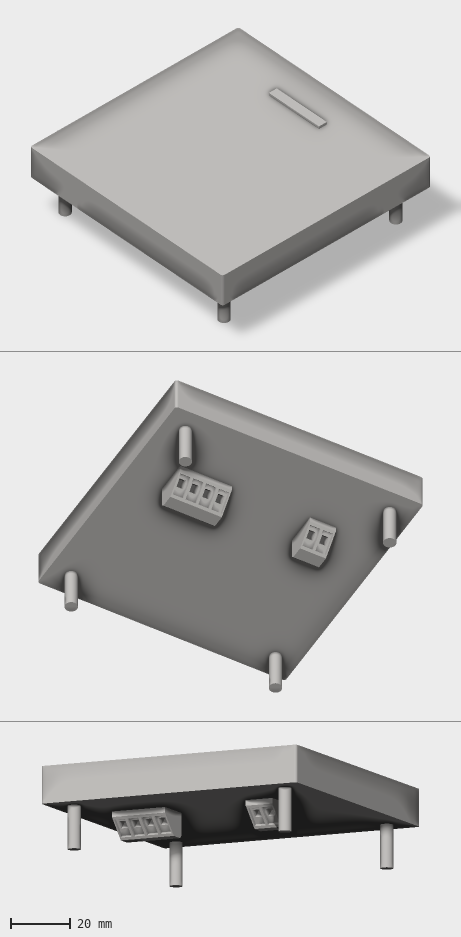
import cadquery as cq

housing_side = 96.0
housing_height = 13.0
corner_radius = 1.0

pin_diameter = 4.5
pin_length = 15.0
pin_spacing = 79.2

label_length = 25.0
label_width = 3.6
label_height = 1.1
label_center = (-1.2, 32.2)

inlay_depth = 1.9
indicator_diameter = 3.0
indicator_centers = [
    (-24.3, 18.6),
    (-16.3, 18.6),
    (15.7, 18.6),
    (23.7, 18.6),
    (-27.4, 3.6),
    (27.4, 3.6),
    (-10.3, -2.3),
    (-10.3, -7.3),
]
button_side = 15.0
button_gap = 3.0
button_count = 4
button_row_y = -30.9
split_button = 1

terminal_pitch = 5.0
terminal_front_y = -24.1
terminal_depth = 12.7
terminal_height = 8.8
terminal_front_height = 1.9
terminal_back_chamfer = 1.0
terminal_blocks = [(-32.9, 4), (17.4, 2)]

recess_width = 4.0
recess_length = 7.5
recess_depth = 1.2
entry_width = 2.5
entry_length = 3.0
entry_depth = 3.5
entry_offset = 0.7


def make_housing():
    plate = cq.Workplane("XY").box(
        housing_side, housing_side, housing_height, centered=(True, True, False)
    )
    return plate.edges("|Z").fillet(corner_radius)


def make_pins():
    return (
        cq.Workplane("XY")
        .rect(pin_spacing, pin_spacing, forConstruction=True)
        .vertices()
        .circle(pin_diameter / 2)
        .extrude(-pin_length)
    )


def make_label():
    return (
        cq.Workplane("XY", origin=(*label_center, housing_height))
        .rect(label_length, label_width)
        .extrude(label_height)
    )


def make_terminal_block(left_x, terminal_count):
    slope_rise = terminal_height - terminal_front_height
    back_y = terminal_front_y + terminal_depth
    slope_end_y = terminal_front_y + slope_rise
    block = (
        cq.Workplane("YZ", origin=(left_x, 0, 0))
        .moveTo(terminal_front_y, 0)
        .lineTo(terminal_front_y, -terminal_front_height)
        .lineTo(slope_end_y, -terminal_height)
        .lineTo(back_y - terminal_back_chamfer, -terminal_height)
        .lineTo(back_y, -terminal_height + terminal_back_chamfer)
        .lineTo(back_y, 0)
        .close()
        .extrude(terminal_count * terminal_pitch)
    )

    slope_middle_y = terminal_front_y + slope_rise / 2
    slope_middle_z = -terminal_front_height - slope_rise / 2
    for index in range(terminal_count):
        terminal_x = left_x + (index + 0.5) * terminal_pitch
        slope = cq.Plane(
            origin=(terminal_x, slope_middle_y, slope_middle_z),
            xDir=(1, 0, 0),
            normal=(0, -1, -1),
        )
        recess = cq.Workplane(slope).rect(recess_width, recess_length).extrude(-recess_depth)
        entry = (
            cq.Workplane(slope)
            .center(0, entry_offset)
            .rect(entry_width, entry_length)
            .extrude(-recess_depth - entry_depth)
        )
        block = block.cut(recess).cut(entry)
    return block


def make_indicators():
    return (
        cq.Workplane("XY", origin=(0, 0, housing_height))
        .pushPoints(indicator_centers)
        .circle(indicator_diameter / 2)
        .extrude(-inlay_depth)
        .solids()
        .vals()
    )


def make_buttons():
    half = button_side / 2
    corners = [(-half, -half), (half, -half), (half, half), (-half, half)]
    buttons = []
    for index in range(button_count):
        center_x = (index - (button_count - 1) / 2) * (button_side + button_gap)
        outlines = [corners]
        if index == split_button:
            outlines = [corners[:3], [corners[2], corners[3], corners[0]]]
        for outline in outlines:
            top = cq.Workplane("XY", origin=(center_x, button_row_y, housing_height))
            buttons.append(top.polyline(outline).close().extrude(-inlay_depth).val())
    return buttons


result = make_housing().union(make_pins()).union(make_label())
for left_end_x, count in terminal_blocks:
    result = result.union(make_terminal_block(left_end_x, count))

for inlay in make_indicators() + make_buttons():
    result = result.union(cq.Workplane(inlay), clean=False)